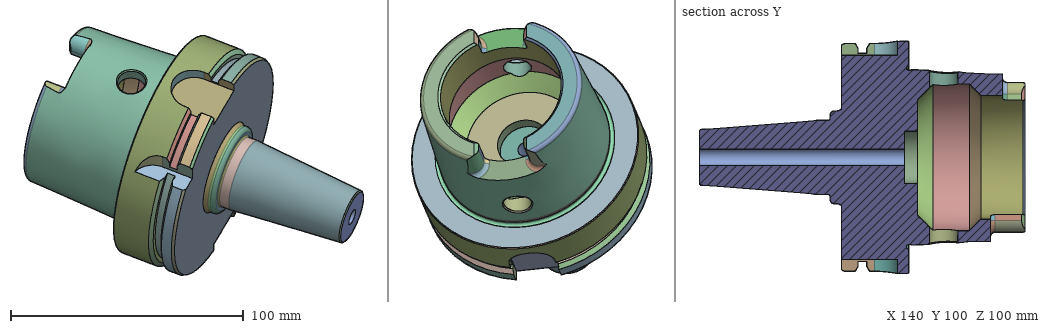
import cadquery as cq
import math


total_length = 140.0
overcut = 1.4

taper_end_x = 47.6
taper_end_radius = 37.73
taper_slope = 0.048
shank_edge_length = 1.7
shank_face_radius = taper_end_radius - taper_slope * taper_end_x - 1.7

relief_x = 48.7
relief_length = 0.4
relief_radius = 37.5
face_groove_fillet = 1.0

flange_x = 50.0
flange_width = 29.0
flange_end_x = flange_x + flange_width
flange_radius = 50.0
flange_front_chamfer = 0.4
flange_rear_chamfer_length = 1.3
flange_rear_chamfer_depth = 0.7

grip_center_x = 69.93
grip_mouth_width = 6.2
grip_floor_width = 3.6
grip_bevel_radius = 47.9
grip_floor_radius = 45.9

collar_radius = 20.0
collar_end_x = 83.9
collar_root_length = 2.0
collar_root_height = 0.8
collar_root_arc_radius = 2.7
collar_edge_fillet = 2.0
neck_radius = 16.03
neck_root_fillet = 0.7
neck_end_x = 88.9
nose_tip_radius = 12.0
nose_tip_chamfer = 0.5

mouth_radius = 26.53
mouth_chamfer = 1.0
mouth_length = 19.0
chamber_radius = 31.5
chamber_floor_x = 46.2
chamber_floor_radius = 24.9
pocket_radius = 11.2
pocket_depth = 5.6
through_hole_diameter = 6.9

drive_half_width = 10.0
drive_wall_top = 27.2
drive_flare_radius = 5.0
drive_floor_fillet = 2.0
drive_front_chamfer = 1.5
clear_of_shank = 1.2
upper_drive_depth = 9.7
lower_drive_depth = 14.8

cross_hole_x = 35.0
cross_hole_diameter = 12.0
cross_hole_chamfer = 0.5
rim_margin = 0.7

cutter_radius = 10.0
keyway_start_x = 54.9
keyway_floor_z = 44.0
notch_wall_y = -31.5
notch_floor_z = 31.4


def revolve_about_x(profile):
    return profile.close().revolve(360, (0, 0, 0), (1, 0, 0))


def make_body():
    grip_left = grip_center_x - grip_mouth_width / 2
    grip_right = grip_center_x + grip_mouth_width / 2
    floor_left = grip_center_x - grip_floor_width / 2
    floor_right = grip_center_x + grip_floor_width / 2
    edge_radius = taper_end_radius - taper_slope * (taper_end_x - shank_edge_length)
    profile = (
        cq.Workplane("XY")
        .lineTo(0, shank_face_radius)
        .threePointArc(
            (0.3 * shank_edge_length, shank_face_radius + 0.7 * (edge_radius - shank_face_radius)),
            (shank_edge_length, edge_radius),
        )
        .lineTo(taper_end_x, taper_end_radius)
        .lineTo(relief_x, taper_end_radius)
        .lineTo(relief_x + relief_length, relief_radius)
        .lineTo(flange_x, relief_radius)
        .radiusArc((flange_x + face_groove_fillet, relief_radius + face_groove_fillet), -face_groove_fillet)
        .radiusArc((flange_x, relief_radius + 2 * face_groove_fillet), -face_groove_fillet)
        .lineTo(flange_x, flange_radius - flange_front_chamfer)
        .lineTo(flange_x + flange_front_chamfer, flange_radius)
        .lineTo(grip_left, flange_radius)
        .lineTo(floor_left, grip_bevel_radius)
        .lineTo(floor_left, grip_floor_radius)
        .lineTo(floor_right, grip_floor_radius)
        .lineTo(floor_right, grip_bevel_radius)
        .lineTo(grip_right, flange_radius)
        .lineTo(flange_end_x - flange_rear_chamfer_length, flange_radius)
        .lineTo(flange_end_x, flange_radius - flange_rear_chamfer_depth)
        .lineTo(flange_end_x, collar_radius + collar_root_height)
        .radiusArc((flange_end_x + collar_root_length, collar_radius), -collar_root_arc_radius)
        .lineTo(collar_end_x - collar_edge_fillet, collar_radius)
        .radiusArc((collar_end_x, collar_radius - collar_edge_fillet), collar_edge_fillet)
        .lineTo(collar_end_x, neck_radius + neck_root_fillet)
        .radiusArc((collar_end_x + neck_root_fillet, neck_radius), -neck_root_fillet)
        .lineTo(neck_end_x, neck_radius)
        .lineTo(total_length - nose_tip_chamfer, nose_tip_radius)
        .lineTo(total_length, nose_tip_radius - nose_tip_chamfer)
        .lineTo(total_length, 0)
    )
    return revolve_about_x(profile)


def make_bore():
    chamber_step = chamber_radius - mouth_radius
    floor_step = chamber_radius - chamber_floor_radius
    through_radius = through_hole_diameter / 2
    profile = (
        cq.Workplane("XY")
        .lineTo(0, mouth_radius + mouth_chamfer)
        .lineTo(mouth_chamfer, mouth_radius)
        .lineTo(mouth_length, mouth_radius)
        .lineTo(mouth_length + chamber_step, chamber_radius)
        .lineTo(chamber_floor_x - floor_step, chamber_radius)
        .lineTo(chamber_floor_x, chamber_floor_radius)
        .lineTo(chamber_floor_x, pocket_radius)
        .lineTo(chamber_floor_x + pocket_depth, pocket_radius)
        .lineTo(chamber_floor_x + pocket_depth, through_radius)
        .lineTo(total_length, through_radius)
        .lineTo(total_length, 0)
    )
    return revolve_about_x(profile)


def make_drive_slot(depth):
    """Upward slot, flared outward near the shank's surface, with a filleted floor and chamfered mouth."""
    center_y = drive_half_width + drive_flare_radius
    center_distance = math.hypot(center_y, drive_wall_top)
    flare_reach = (center_distance + drive_flare_radius) / center_distance
    flare_y = center_y * flare_reach
    flare_z = drive_wall_top * flare_reach
    outer_y = flare_y * clear_of_shank
    outer_z = flare_z * clear_of_shank
    slot = (
        cq.Workplane("YZ")
        .moveTo(-drive_half_width, 0)
        .lineTo(-drive_half_width, drive_wall_top)
        .radiusArc((-flare_y, flare_z), -drive_flare_radius)
        .lineTo(-outer_y, outer_z)
        .lineTo(outer_y, outer_z)
        .lineTo(flare_y, flare_z)
        .radiusArc((drive_half_width, drive_wall_top), -drive_flare_radius)
        .lineTo(drive_half_width, 0)
        .close()
        .extrude(depth)
    )
    walls = cq.selectors.BoxSelector(
        (depth - 0.1, -flare_y - 0.1, 0.1), (depth + 0.1, flare_y + 0.1, flare_z + 0.1)
    )
    slot = slot.edges(walls).fillet(drive_floor_fillet)
    mouth = (
        cq.Workplane("XY")
        .moveTo(0, -drive_half_width - drive_front_chamfer)
        .lineTo(drive_front_chamfer, -drive_half_width)
        .lineTo(drive_front_chamfer, drive_half_width)
        .lineTo(0, drive_half_width + drive_front_chamfer)
        .close()
        .extrude(flange_radius)
    )
    return slot.union(mouth)


def drill_cross_hole(body):
    """Drill across the shank and chamfer both outer rims."""
    radius = cross_hole_diameter / 2
    drill = cq.Workplane("XY").center(cross_hole_x, 0).circle(radius).extrude(flange_radius, both=True)
    rim_reach = radius + rim_margin
    upper_rim = cq.selectors.BoxSelector(
        (cross_hole_x - rim_reach, -rim_reach, chamber_radius + rim_margin),
        (cross_hole_x + rim_reach, rim_reach, flange_radius),
        boundingbox=True,
    )
    lower_rim = cq.selectors.BoxSelector(
        (cross_hole_x - rim_reach, -rim_reach, -flange_radius),
        (cross_hole_x + rim_reach, rim_reach, -chamber_radius - rim_margin),
        boundingbox=True,
    )
    return body.cut(drill).edges(upper_rim + lower_rim).chamfer(cross_hole_chamfer)


def make_keyway():
    """Flat-floored slot with a round end, open at the flange's rear face."""
    return (
        cq.Workplane("XY", origin=(0, 0, keyway_floor_z))
        .moveTo(keyway_start_x + cutter_radius, -cutter_radius)
        .lineTo(flange_end_x + overcut, -cutter_radius)
        .lineTo(flange_end_x + overcut, cutter_radius)
        .lineTo(keyway_start_x + cutter_radius, cutter_radius)
        .radiusArc((keyway_start_x + cutter_radius, -cutter_radius), -cutter_radius)
        .close()
        .extrude(flange_radius - keyway_floor_z + overcut)
    )


def make_corner_notch():
    outer_y = notch_wall_y - cutter_radius
    return (
        cq.Workplane("XY", origin=(0, 0, notch_floor_z))
        .moveTo(flange_end_x + overcut, notch_wall_y)
        .lineTo(keyway_start_x + cutter_radius, notch_wall_y)
        .radiusArc((keyway_start_x, outer_y), -cutter_radius)
        .lineTo(flange_end_x + overcut, outer_y)
        .close()
        .extrude(flange_radius)
    )


def turned_under(cutter):
    return cutter.rotate((0, 0, 0), (1, 0, 0), 180)


body = drill_cross_hole(make_body().cut(make_bore()))

result = (
    body.cut(make_drive_slot(upper_drive_depth))
    .cut(turned_under(make_drive_slot(lower_drive_depth)))
    .cut(make_keyway())
    .cut(turned_under(make_keyway()))
    .cut(make_corner_notch())
)